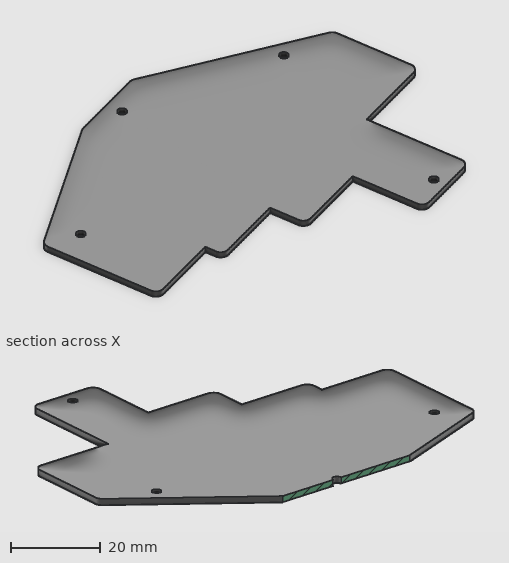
import cadquery as cq

length_x = 78.2
length_y = 96.18
thickness = 1.6

corner_radius = 2.0
hole_diameter = 2.2

pitch = 19.05
lower_step_y = 19.1
middle_step_y = lower_step_y + pitch
arm_bottom_y = middle_step_y + pitch
arm_top_y = 75.14

upper_step_x = length_x - pitch
middle_step_x = upper_step_x - pitch / 2
lower_step_x = middle_step_x - pitch / 4
top_right_x = 51.16

top_left_x = 28.55
left_edge_top_y = 57.84
left_edge_bottom_y = 37.75
bottom_left_x = 14.13

hole_centers = [
    (23.76, 83.41),
    (74.84, 66.14),
    (4.10, 47.7),
    (19.25, 7.64),
]

outline = [
    (bottom_left_x, 0),
    (lower_step_x, 0),
    (lower_step_x, lower_step_y),
    (middle_step_x, lower_step_y),
    (middle_step_x, middle_step_y),
    (upper_step_x, middle_step_y),
    (upper_step_x, arm_bottom_y),
    (length_x, arm_bottom_y),
    (length_x, arm_top_y),
    (top_right_x, arm_top_y),
    (top_right_x, length_y),
    (top_left_x, length_y),
    (0, left_edge_top_y),
    (0, left_edge_bottom_y),
]

inner_corners = [
    (lower_step_x, lower_step_y),
    (middle_step_x, middle_step_y),
    (upper_step_x, arm_bottom_y),
    (top_right_x, arm_top_y),
]
outer_corners = [corner for corner in outline if corner not in inner_corners]


def sharp_plate():
    """Flat plate with every corner still sharp."""
    return cq.Workplane("XY").polyline(outline).close().extrude(thickness)


def round_outer_corners(plate):
    """Round the outward corners and leave the inward ones sharp."""
    corner_edges = plate.newObject([])
    for x, y in outer_corners:
        nearest = cq.selectors.NearestToPointSelector((x, y, thickness / 2))
        corner_edges = corner_edges.add(plate.edges("|Z").edges(nearest))
    return corner_edges.fillet(corner_radius)


def drill_holes(plate):
    """Cut the small through holes."""
    drills = cq.Workplane("XY").pushPoints(hole_centers).circle(hole_diameter / 2).extrude(thickness)
    return plate.cut(drills)


result = drill_holes(round_outer_corners(sharp_plate()))